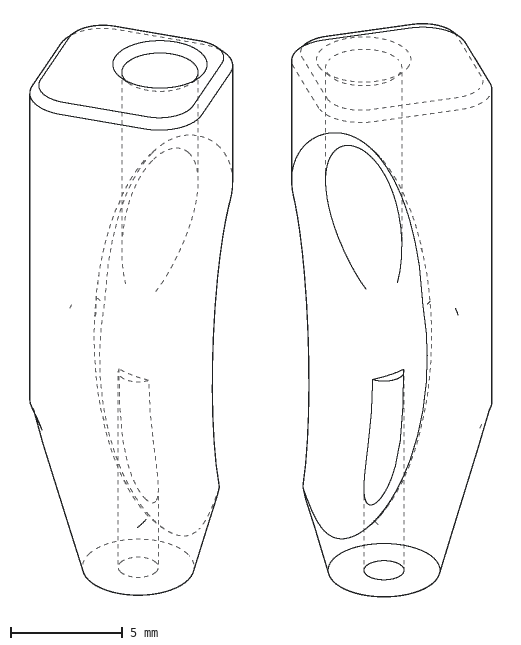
import cadquery as cq
import math

height = 25.27
width = 8.0
depth = 7.95
corner_radius = 2.0
top_chamfer = 0.4
nose_x = 0.5
nose_y = -0.5
nose_radius = 2.5
nose_half_angle = 15.0
nose_blend_radius = 0.5

bore_x = 1.0
bore_y = 1.0
bore_diameter = 3.4
bore_chamfer = 0.4
tip_hole_diameter = 1.8

scoop_x = 1.77
scoop_y = 3.29
scoop_center_z = 10.1
scoop_half_height = 10.1
scoop_radius = 4.4


def make_body():
    """Rounded square bar with its lower end turned down to a cone and the rim softened."""
    bar = (
        cq.Workplane("XY")
        .rect(width, depth)
        .extrude(height)
        .edges("|Z").fillet(corner_radius)
        .faces(">Z").chamfer(top_chamfer)
    )
    cone_top_radius = nose_radius + height * math.tan(math.radians(nose_half_angle))
    cone = cq.Workplane(
        cq.Solid.makeCone(nose_radius, cone_top_radius, height, pnt=cq.Vector(nose_x, nose_y, 0))
    )
    body = bar.intersect(cone)
    nose_rim = body.faces("%CONE").faces("<Z").edges("not %CIRCLE")
    return nose_rim.fillet(nose_blend_radius)


def make_scoop():
    """Upright ellipsoid that opens the +X and +Y sides around the bore."""
    return (
        cq.Workplane("XZ", origin=(scoop_x, scoop_y, scoop_center_z))
        .moveTo(0, -scoop_half_height)
        .ellipseArc(scoop_radius, scoop_half_height, -90, 90, startAtCurrent=True)
        .close()
        .revolve(360, (0, 0), (0, 1))
    )


def make_bore():
    """Vertical bore from the top down to the middle of the scoop, with a countersunk mouth."""
    bore_radius = bore_diameter / 2
    shaft = (
        cq.Workplane("XY", origin=(bore_x, bore_y, scoop_center_z))
        .circle(bore_radius)
        .extrude(height - scoop_center_z)
    )
    mouth = cq.Solid.makeCone(
        bore_radius,
        bore_radius + bore_chamfer,
        bore_chamfer,
        pnt=cq.Vector(bore_x, bore_y, height - bore_chamfer),
    )
    return shaft.union(cq.Workplane(mouth))


def make_tip_hole():
    """Small hole on the nose axis, joining the tip to the scoop."""
    return (
        cq.Workplane("XY", origin=(nose_x, nose_y, 0))
        .circle(tip_hole_diameter / 2)
        .extrude(scoop_center_z)
    )


result = make_body().cut(make_scoop()).cut(make_bore()).cut(make_tip_hole())